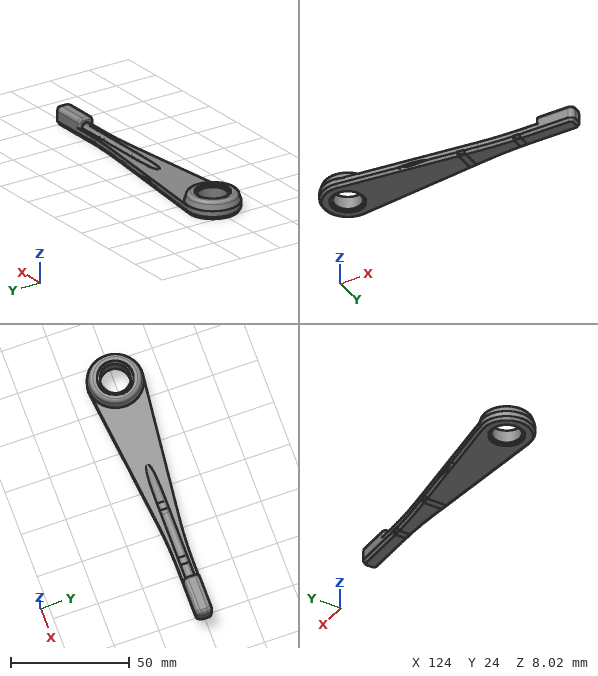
import cadquery as cq
import math

length = 124.0
height = 8.0
plate_thickness = 3.8

bevel_height = 1.5
bevel_inset = 1.0

ring_radius = 24.0 / 2
ring_wall_top = 4.1
ring_shoulder_radius = 11.2
ring_shoulder_z = 6.7
ring_rim_radius = 9.4
rim_bulge_radius = 10.7
rim_bulge_z = 7.6
bore_radius = 13.0 / 2
bore_mouth_radius = 15.4 / 2
bore_mouth_depth = 1.0

shank_half_width = 3.6
blend_start_x = 78.1
shank_start_x = 99.7

grip_start_x = 106.0
grip_edge_radius = 2.0
grip_front_radius = 1.1
end_corner_radius = 2.4
socket_depth = 9.9

channel_radius = 4.1 / 2
channel_tip_x = 51.6
channel_straight_x = 74.2

window_starts = (68.8, 94.7)
window_length = 3.3
window_bottom = 0.2
window_height = 1.5
wire_radius = 1.1 / 2
wire_z = 1.6
wire_offset = 7.9
wire_start_x = 42.2
wire_length = 14.9


def make_blade():
    """Flat body: a teardrop outline tangent to the ring, bevelled underneath."""
    corner_x = (blend_start_x + shank_start_x) / 2
    to_corner_x = corner_x - ring_radius
    distance = math.hypot(to_corner_x, shank_half_width)
    tangent_angle = math.atan2(shank_half_width, to_corner_x) + math.acos(ring_radius / distance)
    taper = math.pi / 2 - tangent_angle

    touch_x = ring_radius + ring_radius * math.cos(tangent_angle)
    touch_y = ring_radius * math.sin(tangent_angle)
    tangent_length = shank_start_x - corner_x
    blend_x = corner_x - tangent_length * math.cos(taper)
    blend_y = shank_half_width + tangent_length * math.sin(taper)
    blend_radius = tangent_length / math.tan(taper / 2)
    middle_x = shank_start_x - blend_radius * math.sin(taper / 2)
    middle_y = shank_half_width + blend_radius * (1 - math.cos(taper / 2))

    blade = (
        cq.Workplane("XY")
        .moveTo(touch_x, -touch_y)
        .lineTo(blend_x, -blend_y)
        .threePointArc((middle_x, -middle_y), (shank_start_x, -shank_half_width))
        .lineTo(length, -shank_half_width)
        .lineTo(length, shank_half_width)
        .lineTo(shank_start_x, shank_half_width)
        .threePointArc((middle_x, middle_y), (blend_x, blend_y))
        .lineTo(touch_x, touch_y)
        .threePointArc((0, 0), (touch_x, -touch_y))
        .close()
        .extrude(plate_thickness)
    )
    blade = blade.edges("|Z and >X").fillet(end_corner_radius)
    return blade.faces("<Z").chamfer(bevel_height, bevel_inset)


def make_ring():
    """Turned ring with a conical flank and a rounded rim."""
    return (
        cq.Workplane("XZ")
        .moveTo(0, 0)
        .lineTo(ring_radius - bevel_inset, 0)
        .lineTo(ring_radius, bevel_height)
        .lineTo(ring_radius, ring_wall_top)
        .lineTo(ring_shoulder_radius, ring_shoulder_z)
        .threePointArc((rim_bulge_radius, rim_bulge_z), (ring_rim_radius, height))
        .lineTo(0, height)
        .close()
        .revolve(360, (0, 0, 0), (0, 1, 0))
        .translate((ring_radius, 0, 0))
    )


def make_grip():
    """Raised block with rounded long edges and rounded ends."""
    base_z = bevel_height
    grip = (
        cq.Workplane("XY")
        .box(
            length - grip_start_x,
            2 * shank_half_width,
            height - base_z,
            centered=(False, True, False),
        )
        .translate((grip_start_x, 0, base_z))
    )
    grip = grip.edges("|Z and >X").fillet(end_corner_radius)
    grip = grip.faces(">Z").edges("not <X").fillet(grip_edge_radius)
    return grip.faces("<X").edges("not <Z").fillet(grip_front_radius)


def make_bore():
    """Through bore with a wider counterbore at each end."""
    bore = cq.Workplane("XY").circle(bore_radius).extrude(height)
    for mouth_z in (0, height - bore_mouth_depth):
        mouth = cq.Workplane("XY").circle(bore_mouth_radius).extrude(bore_mouth_depth)
        bore = bore.union(mouth.translate((0, 0, mouth_z)))
    return bore.translate((ring_radius, 0, 0))


def make_channel():
    """Channel that curves up out of the plate at one end and enters the grip as a blind socket."""
    run_out = channel_straight_x - channel_tip_x
    floor_radius = (run_out**2 + channel_radius**2) / (2 * channel_radius)
    axis_radius = floor_radius - channel_radius
    sweep_angle = math.degrees(math.asin(run_out / floor_radius))

    straight_length = grip_start_x + socket_depth - channel_straight_x
    start = cq.Workplane("YZ", origin=(channel_straight_x, 0, plate_thickness))
    straight = start.circle(channel_radius).extrude(straight_length)
    curved = start.circle(channel_radius).revolve(sweep_angle, (0, axis_radius, 0), (1, axis_radius, 0))
    return straight.union(curved)


def make_window(start_x):
    """Rectangular opening right across the arm."""
    return (
        cq.Workplane("XY")
        .box(window_length, 2 * ring_radius, window_height, centered=(False, True, False))
        .translate((start_x, 0, window_bottom))
    )


def make_wire_hole(side):
    """Thin lengthwise hole that breaks out through a tapered flank."""
    return (
        cq.Workplane("YZ", origin=(wire_start_x, side * wire_offset, wire_z))
        .circle(wire_radius)
        .extrude(wire_length)
    )


result = make_blade().union(make_ring())
result = result.union(make_grip()).cut(make_channel()).cut(make_bore())
for window_start in window_starts:
    result = result.cut(make_window(window_start))
for flank in (-1, 1):
    result = result.cut(make_wire_hole(flank))